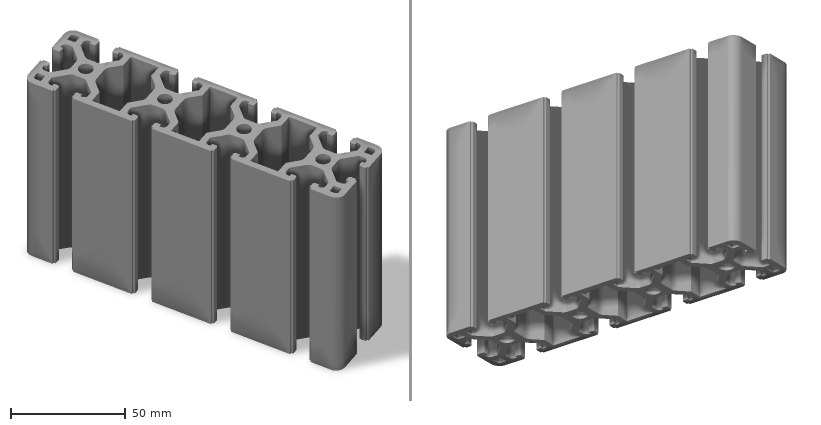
import cadquery as cq
import math

cell = 40.0
cell_count = 4
height = 100.0
length = cell * cell_count
corner_radius = 4.5
bore_diameter = 6.9

mouth_half = 5.1
mouth_depth = 1.0
neck_half = 4.2
lip_depth = 4.5
lip_half = 7.0
lip_radius = 1.0
wall = 3.0
cavity_half = 10.0
cavity_radius = 2.0
shoulder_depth = 7.5
floor_depth = 14.0
floor_radius = 3.0

chamber_near = 7.4
chamber_far = 13.0
chamber_radius = 3.7
chamber_shoulder = 10.4

pocket_size = 4.0
pocket_radius = 1.5

diagonal = math.sqrt(0.5)
cell_centres = [(i - (cell_count - 1) / 2) * cell for i in range(cell_count)]


def half_slot():
    """One half of the T-slot, opening at Y = 0 and running down to -floor_depth."""
    floor_half = cavity_half - (floor_depth - shoulder_depth)
    blend_angle = math.radians(45) / 2
    tangent = floor_radius * math.tan(blend_angle)
    flat_half = floor_half - tangent
    blend_mid = (
        flat_half + floor_radius * math.sin(blend_angle),
        -floor_depth + floor_radius * (1 - math.cos(blend_angle)),
    )
    return (
        cq.Workplane("XY")
        .moveTo(0, 0)
        .lineTo(mouth_half, 0)
        .lineTo(mouth_half, -mouth_depth)
        .lineTo(neck_half, -mouth_depth)
        .lineTo(neck_half, lip_radius - lip_depth)
        .radiusArc((neck_half + lip_radius, -lip_depth), -lip_radius)
        .lineTo(lip_half, -lip_depth)
        .lineTo(lip_half, -wall)
        .lineTo(cavity_half - cavity_radius, -wall)
        .radiusArc((cavity_half, -wall - cavity_radius), cavity_radius)
        .lineTo(cavity_half, -shoulder_depth)
        .lineTo(floor_half + tangent * diagonal, -floor_depth + tangent * diagonal)
        .threePointArc(blend_mid, (flat_half, -floor_depth))
        .lineTo(0, -floor_depth)
        .close()
        .extrude(height)
    )


def slot_at_cell(x, turn):
    """A T-slot in the cell centred at x; turn = 0 opens towards +Y."""
    half = half_slot()
    slot = half.union(half.mirror("YZ")).translate((0, cell / 2, 0))
    return slot.rotate((0, 0, 0), (0, 0, 1), turn).translate((x, 0, 0))


def chamber(x):
    """Hollow centred on the joint between two cells."""
    near = cell / 2 - chamber_near
    far = cell / 2 - chamber_far
    top = cell / 2 - wall
    near_half = chamber_shoulder - (chamber_far - chamber_near)
    quarter = [(far, top), (far, chamber_shoulder), (near, near_half)]
    right = quarter + [(px, -py) for px, py in reversed(quarter)]
    left = [(-px, -py) for px, py in right]
    return (
        cq.Workplane("XY")
        .polyline(right + left)
        .close()
        .extrude(height)
        .faces("<X or >X")
        .edges("|Z")
        .fillet(chamber_radius)
        .translate((x, 0, 0))
    )


def corner_pocket():
    """Square hollow in the +X +Y corner, rounded towards the outside."""
    centre = pocket_size / 2 + wall
    return (
        cq.Workplane("XY")
        .rect(pocket_size, pocket_size)
        .extrude(height)
        .edges("|Z and >X and >Y")
        .fillet(pocket_radius)
        .translate((length / 2 - centre, cell / 2 - centre, 0))
    )


result = (
    cq.Workplane("XY")
    .box(length, cell, height, centered=(True, True, False))
    .edges("|Z")
    .fillet(corner_radius)
)

for x in cell_centres:
    result = result.cut(slot_at_cell(x, 0)).cut(slot_at_cell(x, 180))
bores = cq.Workplane("XY").pushPoints([(x, 0) for x in cell_centres]).circle(bore_diameter / 2)
result = result.cut(bores.extrude(height))

result = result.cut(slot_at_cell(cell_centres[0], 90)).cut(slot_at_cell(cell_centres[-1], -90))

for x in cell_centres[:-1]:
    result = result.cut(chamber(x + cell / 2))

pocket = corner_pocket()
for corner in (pocket, pocket.mirror("YZ")):
    result = result.cut(corner).cut(corner.mirror("XZ"))